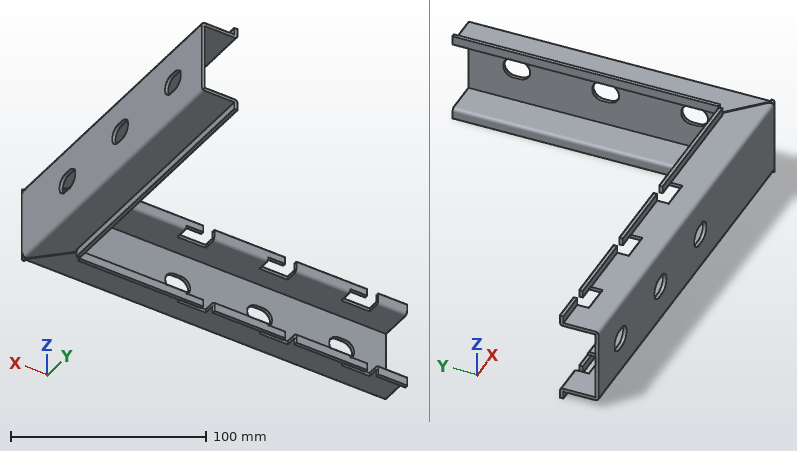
import cadquery as cq
import math

length_x = 222.0
length_y = 172.0
height = 52.0

sheet = 2.0
web_height = 43.5
flange_width = 22.0
bend_radius = 2.2
corner_radius = 2.7
miter_gap = 0.9
lip_setback = 0.7

slot_count = 3
slot_pitch = 50.0
slot_first = 27.0
slot_length = 15.0
slot_width = 11.5

notch_first = 17.5
notch_length = 17.0
notch_floor = 13.5
lip_opening = 6.9

half_web = web_height / 2
half_height = height / 2
flange_inner = half_web - sheet
lip_inner = flange_width - sheet
slot_positions = [slot_first + i * slot_pitch for i in range(slot_count)]
notch_positions = [notch_first + i * slot_pitch for i in range(slot_count)]


def web_and_flanges(leg_length):
    """C section along X: web on Y=0, flanges reaching to +Y, rounded where the sheet is folded."""
    web_inset = bend_radius * (1 - math.sqrt(0.5))
    lip_reach = sheet * math.sqrt(0.5)
    return (
        cq.Workplane("YZ")
        .moveTo(flange_width, half_web)
        .lineTo(bend_radius, half_web)
        .threePointArc((web_inset, half_web - web_inset), (0, half_web - bend_radius))
        .lineTo(0, bend_radius - half_web)
        .threePointArc((web_inset, web_inset - half_web), (bend_radius, -half_web))
        .lineTo(flange_width, -half_web)
        .threePointArc((lip_inner + lip_reach, lip_reach - half_web), (lip_inner, -flange_inner))
        .lineTo(sheet, -flange_inner)
        .lineTo(sheet, flange_inner)
        .lineTo(lip_inner, flange_inner)
        .threePointArc((lip_inner + lip_reach, half_web - lip_reach), (flange_width, half_web))
        .close()
        .extrude(leg_length - corner_radius)
    )


def lips(leg_length):
    """Upper and lower lips standing on the flange edges, cut square short of the inner corner."""
    lip_length = leg_length - flange_width - lip_setback
    upper = (
        cq.Workplane("XY", origin=(0, lip_inner, half_web))
        .box(lip_length, sheet, half_height - half_web, centered=False)
    )
    return upper.union(upper.mirror("XY"))


def miter_waste(leg_length):
    """Prism beyond the miter line, clear of the web."""
    web_side = leg_length - sheet - miter_gap / math.sqrt(2)
    flange_side = web_side - lip_inner
    return (
        cq.Workplane("XY")
        .moveTo(web_side, sheet)
        .lineTo(leg_length, sheet)
        .lineTo(leg_length, flange_width)
        .lineTo(flange_side, flange_width)
        .close()
        .extrude(half_height, both=True)
    )


def slots():
    """Cutters for the row of round-ended slots through the web."""
    return (
        cq.Workplane("XZ")
        .pushPoints([(x, 0) for x in slot_positions])
        .slot2D(slot_length, slot_width)
        .extrude(sheet, both=True)
    )


def leg(leg_length):
    """One mitered leg along X, ending where the corner upright begins."""
    body = web_and_flanges(leg_length).union(lips(leg_length))
    return body.cut(miter_waste(leg_length)).cut(slots())


def notches():
    """Cutters for the notches in both flanges and the opening in the lips at the start of each."""
    depth = flange_width - notch_floor
    upright = (False, False, True)
    pocket = cq.Workplane("XY").box(notch_length, depth, web_height, centered=upright)
    opening = cq.Workplane("XY").box(lip_opening, depth, height, centered=upright)
    cutter = pocket.union(opening)
    row = cq.Workplane("XY")
    for x in notch_positions:
        row = row.union(cutter.translate((x, notch_floor, 0)))
    return row


def corner_upright():
    """Full-height upright joining the two webs, round outside and square inside."""
    overlap = corner_radius - sheet
    return (
        cq.Workplane("XY", origin=(length_x, 0, 0))
        .moveTo(-corner_radius, 0)
        .radiusArc((0, corner_radius), -corner_radius)
        .lineTo(-sheet, corner_radius)
        .line(0, -overlap)
        .line(-overlap, 0)
        .close()
        .extrude(half_web, both=True)
    )


x_leg = leg(length_x).cut(notches())

y_leg = leg(length_y).rotate((0, 0, 0), (0, 0, 1), -90).mirror("YZ")
y_leg = y_leg.translate((length_x, length_y, 0))

result = x_leg.union(y_leg).union(corner_upright())